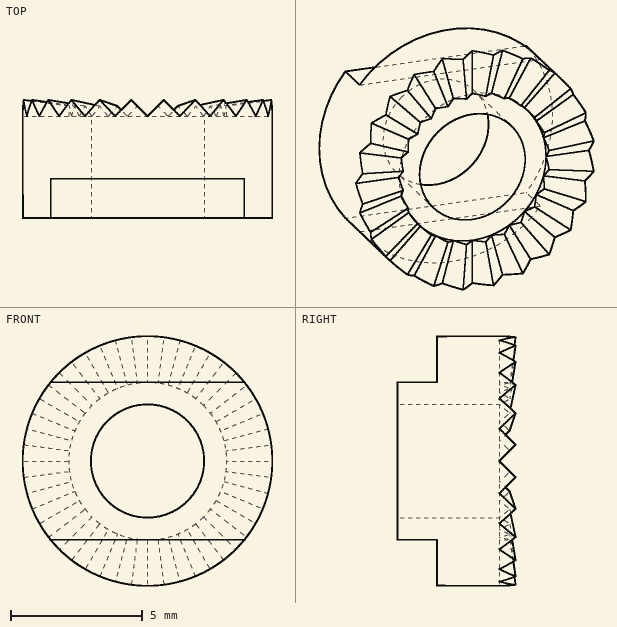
import cadquery as cq
import math

outer_diameter = 9.5
bore_diameter = 4.3
tooth_inner_diameter = 6.0
total_length = 4.5
key_width = 6.0
key_length = 1.5
tooth_count = 24
groove_angle = 90.0

outer_radius = outer_diameter / 2
tooth_pitch = 360.0 / tooth_count
tip_half_width = outer_radius * math.sin(math.radians(tooth_pitch / 2))
tooth_depth = tip_half_width / math.tan(math.radians(groove_angle / 2))
valley_y = total_length - tooth_depth

overreach = 1.5


def make_body():
    """Ring with its front face at Y = 0, growing toward +Y."""
    return (
        cq.Workplane("XZ")
        .circle(outer_radius)
        .circle(bore_diameter / 2)
        .extrude(-total_length)
    )


def make_flat_cutter(side):
    """Block that removes one segment (side is +1 or -1 along Z) beside the front key."""
    return (
        cq.Workplane("XY")
        .box(outer_diameter, key_length, outer_radius, centered=(True, False, True))
        .translate((0, 0, side * (key_width + outer_radius) / 2))
    )


def make_groove_cutter(angle):
    """V prism running radially outward from the axis, turned about Y by angle."""
    top_y = valley_y + overreach * tooth_depth
    half_width = overreach * tip_half_width
    return (
        cq.Workplane("XY")
        .moveTo(0, valley_y)
        .lineTo(half_width, top_y)
        .lineTo(-half_width, top_y)
        .close()
        .extrude(overreach * outer_radius)
        .rotate((0, 0, 0), (0, 1, 0), angle)
    )


def make_recess_cutter():
    """Disc that clears the inside of the tooth ring down to the groove roots."""
    return (
        cq.Workplane("XZ", origin=(0, valley_y, 0))
        .circle(tooth_inner_diameter / 2)
        .extrude(-overreach * tooth_depth)
    )


result = make_body()

for side in (1, -1):
    result = result.cut(make_flat_cutter(side))

for index in range(tooth_count):
    result = result.cut(make_groove_cutter(index * tooth_pitch))

result = result.cut(make_recess_cutter())